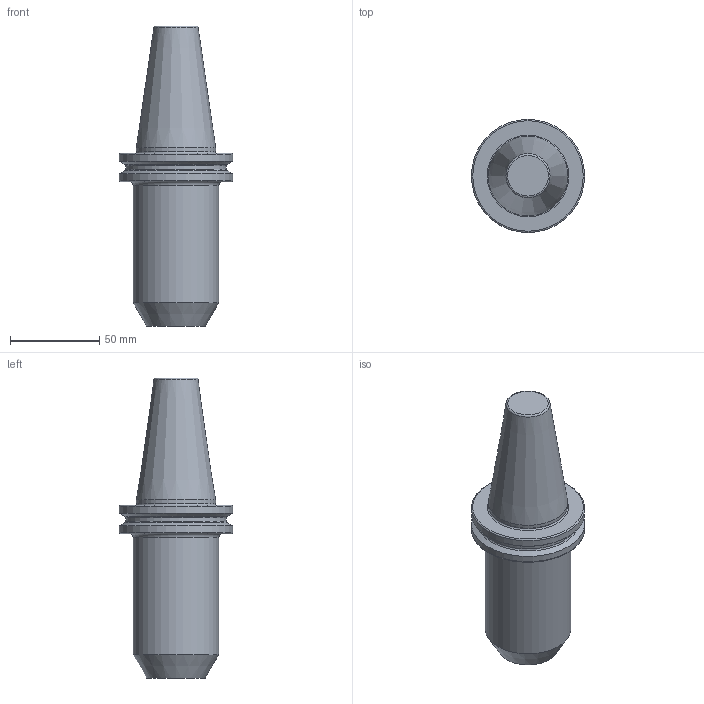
import cadquery as cq
import math

taper_length = 68.25
neck_top = -2.15
flange_top = -3.18
flange_bottom = -19.05
body_bottom = -100.0

gauge_diameter = 44.45
neck_diameter = 44.0
flange_diameter = 63.5
groove_diameter = 56.5
body_diameter = 48.0
nose_diameter = 33.0

taper_rate = 7 / 24
nose_angle = math.radians(30)
groove_width = 7.1
groove_wall_angle = math.radians(30)

tip_edge_fillet = 1.0
flange_edge_fillet = 0.75
neck_root_fillet = 0.8
body_root_fillet = 2.0
groove_root_fillet = 1.1

gauge_radius = gauge_diameter / 2
neck_radius = neck_diameter / 2
flange_radius = flange_diameter / 2
groove_radius = groove_diameter / 2
body_radius = body_diameter / 2
nose_radius = nose_diameter / 2
tip_radius = gauge_radius - taper_length * taper_rate / 2
nose_top = body_bottom + (body_radius - nose_radius) / math.tan(nose_angle)
groove_center = (flange_top + flange_bottom) / 2

selection_tolerance = 0.01


def revolve_about_z(points):
    """Revolve a closed outline of (radius, height) points about the Z axis."""
    return cq.Workplane("XZ").polyline(points).close().revolve(360, (0, 0, 0), (0, 1, 0))


def box_around_circle(half_side, height):
    """Select everything inside a thin square slab centred on the Z axis."""
    return cq.selectors.BoxSelector(
        (-half_side, -half_side, height - selection_tolerance),
        (half_side, half_side, height + selection_tolerance),
        boundingbox=True,
    )


def fillet_circle(solid, radius, height, fillet_radius):
    """Fillet the circular edge that has the given radius and height."""
    outer_box = box_around_circle(radius + selection_tolerance, height)
    inner_box = box_around_circle(radius - selection_tolerance, height)
    return solid.edges(outer_box - inner_box).fillet(fillet_radius)


def make_holder():
    """Tapered shank, relieved neck, plain flange and cylindrical body with a conical nose."""
    holder = revolve_about_z([
        (0, taper_length),
        (tip_radius, taper_length),
        (gauge_radius, 0),
        (gauge_radius, neck_top),
        (neck_radius, neck_top),
        (neck_radius, flange_top),
        (flange_radius, flange_top),
        (flange_radius, flange_bottom),
        (body_radius, flange_bottom),
        (body_radius, nose_top),
        (nose_radius, body_bottom),
        (0, body_bottom),
    ])
    holder = fillet_circle(holder, tip_radius, taper_length, tip_edge_fillet)
    for height in (flange_top, flange_bottom):
        holder = fillet_circle(holder, flange_radius, height, flange_edge_fillet)
    holder = fillet_circle(holder, neck_radius, flange_top, neck_root_fillet)
    return fillet_circle(holder, body_radius, flange_bottom, body_root_fillet)


def make_groove():
    """V-shaped ring with a flat, rounded root that is cut from the flange rim."""
    half_width = groove_width / 2
    wall_height = (flange_radius - groove_radius) * math.tan(groove_wall_angle)
    half_root = half_width - wall_height
    ring = revolve_about_z([
        (flange_radius, groove_center + half_width),
        (groove_radius, groove_center + half_root),
        (groove_radius, groove_center - half_root),
        (flange_radius, groove_center - half_width),
    ])
    for height in (groove_center + half_root, groove_center - half_root):
        ring = fillet_circle(ring, groove_radius, height, groove_root_fillet)
    return ring


result = make_holder().cut(make_groove())